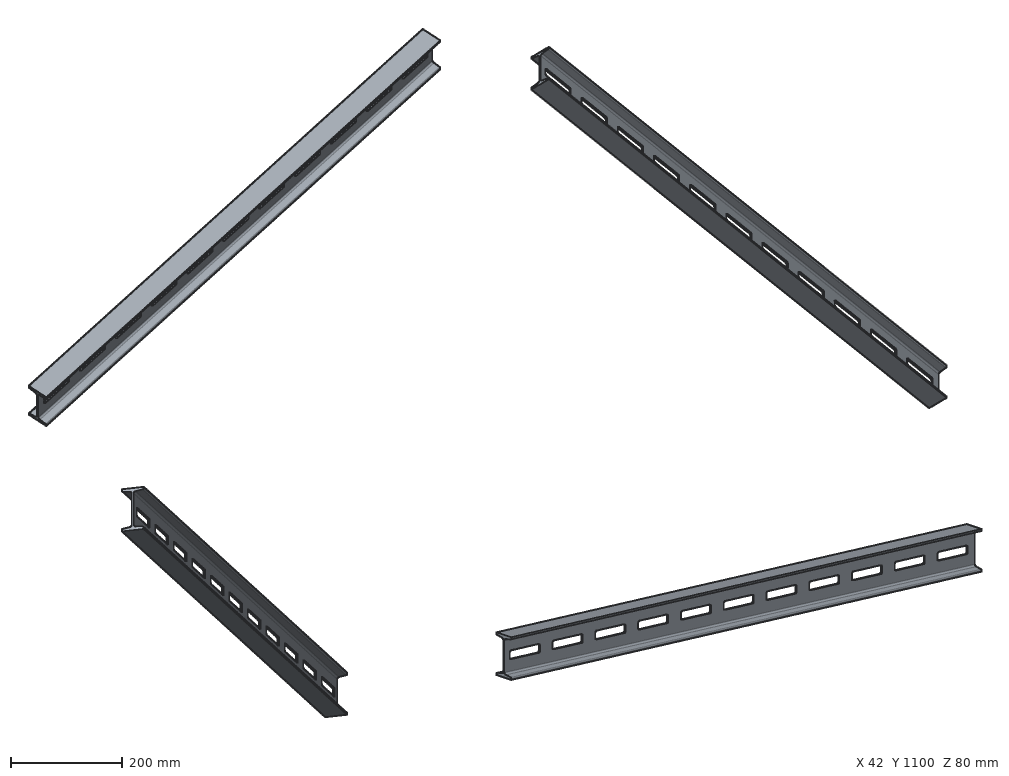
import cadquery as cq

length = 1100.0
flange_width = 42.0
height = 80.0

web_thickness = 3.8
flange_thickness = 5.9
flange_slope = 0.14
root_radius = 3.8
toe_radius = 2.3

slot_count = 11
slot_pitch = length / slot_count
slot_row_offset = 2.0
slot_length = 70.0
slot_height = 16.0
slot_corner_radius = 3.0

half_width = flange_width / 2
half_height = height / 2
half_web = web_thickness / 2


def flange_inner_height(x):
    """Height of the sloping inner flange face at distance x from the web centre."""
    return half_height - flange_thickness + flange_slope * (x - half_width / 2)


def make_beam():
    """I-beam centred on the origin, with rounded flange toes and web roots."""
    toe_height = flange_inner_height(half_width)
    root_height = flange_inner_height(half_web)
    quarter = (
        cq.Workplane("XZ")
        .moveTo(0, 0)
        .lineTo(half_web, 0)
        .lineTo(half_web, root_height)
        .lineTo(half_width, toe_height)
        .lineTo(half_width, half_height)
        .lineTo(0, half_height)
        .close()
        .extrude(length / 2, both=True)
    )
    root_edge = cq.selectors.NearestToPointSelector((half_web, 0, root_height))
    quarter = quarter.edges(root_edge).fillet(root_radius)
    toe_edge = cq.selectors.NearestToPointSelector((half_width, 0, toe_height))
    quarter = quarter.edges(toe_edge).fillet(toe_radius)
    half = quarter.union(quarter.mirror("YZ"))
    return half.union(half.mirror("XY")).clean()


def make_slots():
    """Evenly spaced round-cornered cutters passing through the web."""
    return (
        cq.Workplane("XY")
        .rarray(11, slot_pitch, 1, slot_count)
        .box(2 * web_thickness, slot_length, slot_height, combine=False)
        .edges("|X")
        .fillet(slot_corner_radius)
        .translate((0, slot_row_offset, 0))
    )


result = make_beam().cut(make_slots())